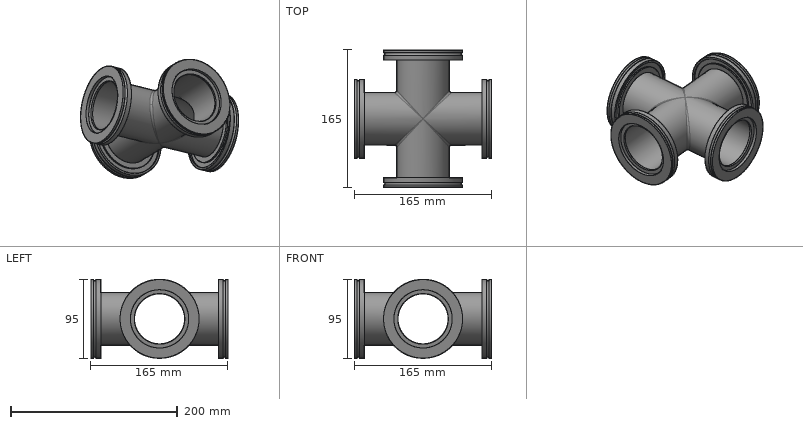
import cadquery as cq

span = 165.0
half_span = span / 2

tube_od = 63.5
tube_id = 60.2
seam_fillet = 2.5

flange_od = 95.0
flange_thickness = 11.9
recess_dia = 70.1
recess_depth = 3.8
lip_length = 2.5
socket_dia = 63.9
hub_dia = 77.2
rim_inner_dia = 90.0
back_groove_depth = 2.0
rim_groove_start = 3.0
rim_groove_width = 3.1
rim_groove_depth = rim_groove_width / 2

tube_end = half_span - recess_depth - lip_length
flange_back = half_span - flange_thickness


def crossed_cylinders(diameter):
    """Two equal cylinders along X and Y, crossing at the origin."""
    along_x = cq.Workplane("YZ").circle(diameter / 2).extrude(tube_end, both=True)
    along_y = cq.Workplane("XZ").circle(diameter / 2).extrude(tube_end, both=True)
    return along_x.union(along_y)


def make_tube_cross():
    """Four-way tube with filleted outer seams and an open bore."""
    outside = crossed_cylinders(tube_od)
    seams = outside.edges("%ELLIPSE")
    return seams.fillet(seam_fillet).cut(crossed_cylinders(tube_id))


def make_flange():
    """Flange turned about the X axis, front face at +half_span."""
    bore_r = tube_id / 2
    recess_r = recess_dia / 2
    socket_r = socket_dia / 2
    hub_r = hub_dia / 2
    rim_inner_r = rim_inner_dia / 2
    outer_r = flange_od / 2
    recess_floor = half_span - recess_depth
    back_groove_floor = flange_back + back_groove_depth
    groove_front = half_span - rim_groove_start
    groove_mid = groove_front - rim_groove_width / 2
    groove_back = groove_front - rim_groove_width
    return (
        cq.Workplane("XY")
        .moveTo(half_span, recess_r)
        .lineTo(half_span, outer_r)
        .lineTo(groove_front, outer_r)
        .threePointArc((groove_mid, outer_r - rim_groove_depth), (groove_back, outer_r))
        .lineTo(flange_back, outer_r)
        .lineTo(flange_back, rim_inner_r)
        .lineTo(back_groove_floor, rim_inner_r)
        .lineTo(back_groove_floor, hub_r)
        .lineTo(flange_back, hub_r)
        .lineTo(flange_back, socket_r)
        .lineTo(tube_end, socket_r)
        .lineTo(tube_end, bore_r)
        .lineTo(recess_floor, bore_r)
        .lineTo(recess_floor, recess_r)
        .close()
        .revolve(360, (0, 0, 0), (1, 0, 0))
    )


tube_cross = make_tube_cross()

flange_angles = [0, 90, 180, 270]
flanges = [make_flange().rotate((0, 0, 0), (0, 0, 1), angle).val() for angle in flange_angles]

result = cq.Compound.makeCompound([tube_cross.val(), *flanges])